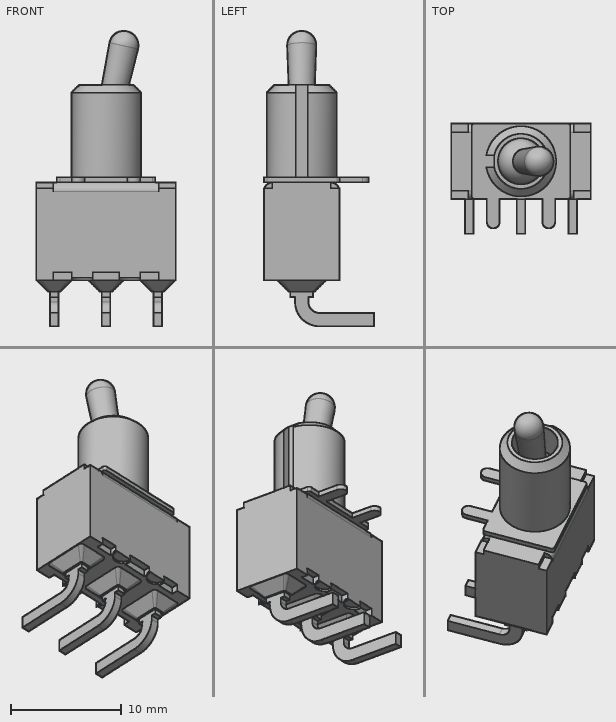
import cadquery as cq
import math


case_length = 12.7
case_depth = 6.88
case_bottom = 4.2
case_top = 13.08
cover_half = 4.78
edge_depth = 0.78
corner_drop = 0.5

notch_height = 0.73
notch_depth = 0.65
middle_notch_half = 1.2
outer_notch_inner = 3.1
scallop_height = 0.21

plate_length = 8.97
plate_thickness = 0.48
plate_corner = 0.27
tab_width = 1.18
tab_spacing = 5.05
tab_reach = 6.1

bushing_radius = 3.2
bushing_top = 21.95
bushing_chamfer = 0.7
keyway_width = 1.07
keyway_floor = 2.42

terminal_pitch = 4.7
terminal_width = 0.8
leg_thickness = 1.24
bend_inner_radius = 1.0
shoulder_width = 2.1
shoulder_bottom = 2.65
terminal_reach = 6.58
mound_height = 1.02
mound_length = 3.17
mound_depth = 4.4
mound_corner = 0.38
mound_tip_corner = 0.15

ball_radius = 2.1
lever_tilt = 12.2
lever_length = 7.65
lever_root_radius = 1.07
dome_radius = 1.35
overall_height = 26.85

plate_top = case_top + plate_thickness
pivot_z = overall_height - dome_radius - lever_length * math.cos(math.radians(lever_tilt))
front_and_back = (-1, 1)
diagonal = math.sqrt(0.5)


def block(x_min, x_max, y_min, y_max, z_min, z_max):
    """Axis-aligned box between the given limits."""
    size = (x_max - x_min, y_max - y_min, z_max - z_min)
    return cq.Workplane("XY").box(*size, centered=False).translate((x_min, y_min, z_min))


def edge_cutter(x_min, x_max, z_min, z_max, depth, side):
    """Box that cuts to a given depth into the front (-1) or back (+1) face of the case."""
    y_inner = side * (case_depth / 2 - depth)
    y_outer = side * case_depth / 2
    return block(x_min, x_max, min(y_inner, y_outer), max(y_inner, y_outer), z_min, z_max)


def make_case():
    """Box with a rounded cover strip, stepped top corners and a notched bottom edge."""
    half = case_length / 2
    case = block(-cover_half, cover_half, -case_depth / 2, case_depth / 2, case_bottom, case_top)
    case = case.edges("|X and >Z").fillet(edge_depth)
    for x_min, x_max in ((-half, -cover_half), (cover_half, half)):
        end = block(x_min, x_max, -case_depth / 2, case_depth / 2, case_bottom, case_top)
        for side in front_and_back:
            step = edge_cutter(x_min, x_max, case_top - corner_drop, case_top, edge_depth, side)
            end = end.cut(step)
        case = case.union(end)

    notches = (
        (-cover_half, -outer_notch_inner),
        (-middle_notch_half, middle_notch_half),
        (outer_notch_inner, cover_half),
    )
    scallop_x = (outer_notch_inner + middle_notch_half) / 2
    scallop_radius = (outer_notch_inner - middle_notch_half) / 2
    notch_top = case_bottom + notch_height
    for side in front_and_back:
        for x_min, x_max in notches:
            notch = edge_cutter(x_min, x_max, case_bottom, notch_top, notch_depth, side)
            case = case.cut(notch)
        scallops = (
            cq.Workplane("XY", origin=(0, side * case_depth / 2, case_bottom))
            .pushPoints([(-scallop_x, 0), (scallop_x, 0)])
            .circle(scallop_radius)
            .extrude(scallop_height)
        )
        case = case.cut(scallops)
    return case


def make_plate():
    """Mounting plate with rounded corners and two round-ended tabs towards -Y."""
    plate = (
        cq.Workplane("XY", origin=(0, 0, case_top))
        .rect(plate_length, case_depth)
        .extrude(plate_thickness)
        .edges("|Z")
        .fillet(plate_corner)
    )
    tab_end_y = -tab_reach + tab_width / 2
    for x in (-tab_spacing / 2, tab_spacing / 2):
        tab = block(x - tab_width / 2, x + tab_width / 2, tab_end_y, 0, case_top, plate_top)
        tip = (
            cq.Workplane("XY", origin=(x, tab_end_y, case_top))
            .circle(tab_width / 2)
            .extrude(plate_thickness)
        )
        plate = plate.union(tab).union(tip)
    return plate


def make_bushing():
    """Chamfered barrel with a keyway down its -X side."""
    barrel = (
        cq.Workplane("XY", origin=(0, 0, plate_top))
        .circle(bushing_radius)
        .extrude(bushing_top - plate_top)
        .faces(">Z")
        .chamfer(bushing_chamfer)
    )
    keyway = block(
        -bushing_radius, -keyway_floor, -keyway_width / 2, keyway_width / 2, plate_top, bushing_top
    )
    return barrel.cut(keyway)


def make_bore():
    """Round bore of the bushing that ends in a spherical seat for the lever ball."""
    seat = cq.Workplane("XY").sphere(ball_radius).translate((0, 0, pivot_z))
    shaft = (
        cq.Workplane("XY", origin=(0, 0, pivot_z))
        .circle(ball_radius)
        .extrude(bushing_top - pivot_z)
    )
    return shaft.union(seat)


def rounded_rectangle(length, depth, corner):
    """Sketch of a rectangle with rounded corners."""
    return cq.Sketch().rect(length, depth).vertices().fillet(corner)


def make_mound(x):
    """Sealing mound under the case: a rounded pyramid with 45 degree sides, widest at the case."""
    narrowing = 2 * mound_height
    base = rounded_rectangle(mound_length, mound_depth, mound_corner)
    tip = rounded_rectangle(mound_length - narrowing, mound_depth - narrowing, mound_tip_corner)
    tip = tip.moved(cq.Location(cq.Vector(0, 0, -mound_height)))
    mound = cq.Workplane("XY").placeSketch(base, tip).loft()
    return mound.translate((x, 0, case_bottom))


def make_terminal(x):
    """Flat terminal that leaves its shoulder downwards and bends towards -Y."""
    bend_outer_radius = bend_inner_radius + leg_thickness
    bend_y = -leg_thickness / 2 - bend_inner_radius
    bend_z = bend_outer_radius
    return (
        cq.Workplane("YZ", origin=(x - terminal_width / 2, 0, 0))
        .moveTo(-terminal_reach, 0)
        .lineTo(bend_y, 0)
        .threePointArc(
            (bend_y + bend_outer_radius * diagonal, bend_z - bend_outer_radius * diagonal),
            (leg_thickness / 2, bend_z),
        )
        .lineTo(leg_thickness / 2, shoulder_bottom)
        .lineTo(shoulder_width / 2, shoulder_bottom)
        .lineTo(shoulder_width / 2, case_bottom)
        .lineTo(-shoulder_width / 2, case_bottom)
        .lineTo(-shoulder_width / 2, shoulder_bottom)
        .lineTo(-leg_thickness / 2, shoulder_bottom)
        .lineTo(-leg_thickness / 2, bend_z)
        .threePointArc(
            (bend_y + bend_inner_radius * diagonal, bend_z - bend_inner_radius * diagonal),
            (bend_y, leg_thickness),
        )
        .lineTo(-terminal_reach, leg_thickness)
        .close()
        .extrude(terminal_width)
    )


def make_housing():
    """Case, plate, bushing and terminals as one solid, with the bore for the lever."""
    housing = make_case().union(make_plate()).union(make_bushing())
    for x in (-terminal_pitch, 0, terminal_pitch):
        housing = housing.union(make_mound(x)).union(make_terminal(x))
    return housing.cut(make_bore())


def make_lever():
    """Ball, tapered stem and domed end, turned about the lever axis and tilted at the ball centre."""
    stem = (
        cq.Workplane("XZ")
        .lineTo(lever_root_radius, 0)
        .lineTo(dome_radius, lever_length)
        .threePointArc(
            (dome_radius * diagonal, lever_length + dome_radius * diagonal),
            (0, lever_length + dome_radius),
        )
        .close()
        .revolve(360, (0, 0, 0), (0, 1, 0))
    )
    lever = stem.union(cq.Workplane("XY").sphere(ball_radius))
    return lever.rotate((0, 0, 0), (0, 1, 0), lever_tilt).translate((0, 0, pivot_z))


housing = make_housing()
lever = make_lever()

result = cq.Compound.makeCompound([housing.val(), lever.val()])